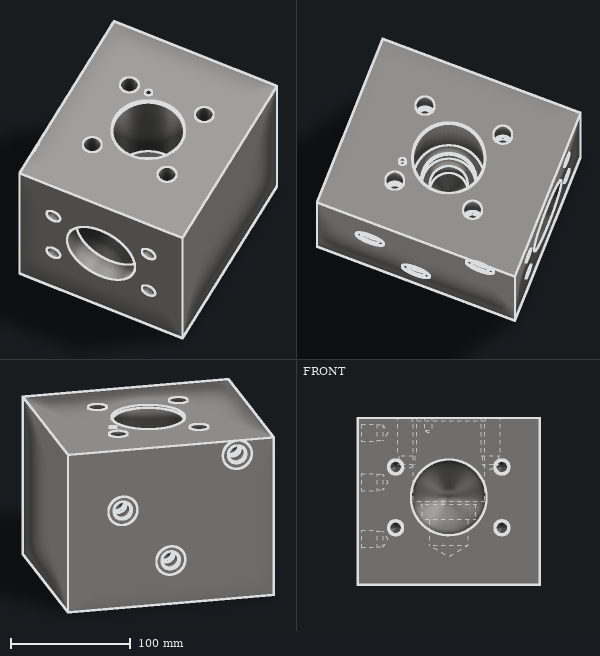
import cadquery as cq
import math

WIDTH = 152.4
LENGTH = 177.8
HEIGHT = 139.8

DRILL_POINT_ANGLE = 118.0

CAVITY_Y = LENGTH / 2
COUNTERBORE_DEPTH = 2.5
MAIN_COUNTERBORE_DIAMETER = 61.3
MAIN_BORE_DIAMETER = 60.1
MAIN_BORE_DEPTH = 70.0
LOWER_COUNTERBORE_DIAMETER = 46.4
LOWER_BORE_DIAMETER = 45.0
LOWER_BORE_DEPTH = 85.0
OUTLET_DIAMETER = 32.0
OUTLET_DEPTH = 106.7

COVER_BOLT_SPACING = 69.9
COVER_THREAD_DIAMETER = 15.8
COVER_THREAD_DEPTH = 32.0
COVER_DRILL_DIAMETER = 13.5
COVER_DRILL_DEPTH = 39.1
PIN_X = -17.0
PIN_DIAMETER = 6.0
PIN_DEPTH = 10.7

FLANGE_Z = 73.3
FLANGE_BORE_DIAMETER = 63.5
FLANGE_BORE_DEPTH = 17.8
FLANGE_BOLT_SPACING_X = 88.9
FLANGE_BOLT_SPACING_Z = 50.9
FLANGE_THREAD_DIAMETER = 12.6
FLANGE_THREAD_DEPTH = 26.7
FLANGE_DRILL_DIAMETER = 10.7
FLANGE_DRILL_DEPTH = 33.8

PILOT_PORTS = [(31.5, 127.1), (130.3, 85.9), (LENGTH / 2, 38.2)]
SPOTFACE_DIAMETER = 25.0
SPOTFACE_DEPTH = 0.7
SEAL_MOUTH_DIAMETER = 15.8
SEAL_SEAT_DIAMETER = 14.5
SEAL_DEPTH = 3.0
PILOT_THREAD_DIAMETER = 14.2
PILOT_THREAD_DEPTH = 16.0
PILOT_DRILL_DIAMETER = 13.0
PILOT_DRILL_DEPTH = 21.3


def hole_cutter(steps):
    """Revolved cutter about +Z, mouth at Z = 0, running down to a drill point.

    Each step is (diameter at its top, diameter at its bottom, depth of its bottom).
    """
    points = [(0, 0)]
    top_depth = 0
    for top_diameter, bottom_diameter, bottom_depth in steps:
        step_start = (top_diameter / 2, -top_depth)
        if step_start != points[-1]:
            points.append(step_start)
        points.append((bottom_diameter / 2, -bottom_depth))
        top_depth = bottom_depth
    tip_radius = steps[-1][1] / 2
    tip_length = tip_radius / math.tan(math.radians(DRILL_POINT_ANGLE / 2))
    points.append((0, -top_depth - tip_length))
    return cq.Workplane("XZ").polyline(points).close().revolve(360, (0, 0), (0, 1))


def tapped_cutter(thread_diameter, thread_depth, drill_diameter, drill_depth):
    return hole_cutter([
        (thread_diameter, thread_diameter, thread_depth),
        (drill_diameter, drill_diameter, drill_depth),
    ])


def sink_from_top(body, cutter, x, y):
    return body.cut(cutter.translate((x, y, HEIGHT)))


def sink_from_front(body, cutter, x, z):
    turned = cutter.rotate((0, 0, 0), (1, 0, 0), 90)
    return body.cut(turned.translate((x, 0, z)))


def sink_from_left(body, cutter, y, z):
    turned = cutter.rotate((0, 0, 0), (0, 1, 0), -90)
    return body.cut(turned.translate((-WIDTH / 2, y, z)))


def add_cavity(body):
    lower_counterbore_bottom = MAIN_BORE_DEPTH + COUNTERBORE_DEPTH
    cutter = hole_cutter([
        (MAIN_COUNTERBORE_DIAMETER, MAIN_COUNTERBORE_DIAMETER, COUNTERBORE_DEPTH),
        (MAIN_BORE_DIAMETER, MAIN_BORE_DIAMETER, MAIN_BORE_DEPTH),
        (LOWER_COUNTERBORE_DIAMETER, LOWER_COUNTERBORE_DIAMETER, lower_counterbore_bottom),
        (LOWER_BORE_DIAMETER, LOWER_BORE_DIAMETER, LOWER_BORE_DEPTH),
        (OUTLET_DIAMETER, OUTLET_DIAMETER, OUTLET_DEPTH),
    ])
    return sink_from_top(body, cutter, 0, CAVITY_Y)


def add_cover_holes(body):
    offset = COVER_BOLT_SPACING / 2
    bolt = tapped_cutter(
        COVER_THREAD_DIAMETER, COVER_THREAD_DEPTH, COVER_DRILL_DIAMETER, COVER_DRILL_DEPTH
    )
    for x in (-offset, offset):
        for y in (CAVITY_Y - offset, CAVITY_Y + offset):
            body = sink_from_top(body, bolt, x, y)
    pin = hole_cutter([(PIN_DIAMETER, PIN_DIAMETER, PIN_DEPTH)])
    return sink_from_top(body, pin, PIN_X, CAVITY_Y + offset)


def add_flange_port(body):
    bore = hole_cutter([(FLANGE_BORE_DIAMETER, FLANGE_BORE_DIAMETER, FLANGE_BORE_DEPTH)])
    body = sink_from_front(body, bore, 0, FLANGE_Z)
    bolt = tapped_cutter(
        FLANGE_THREAD_DIAMETER, FLANGE_THREAD_DEPTH, FLANGE_DRILL_DIAMETER, FLANGE_DRILL_DEPTH
    )
    for x in (-FLANGE_BOLT_SPACING_X / 2, FLANGE_BOLT_SPACING_X / 2):
        for z in (FLANGE_Z - FLANGE_BOLT_SPACING_Z / 2, FLANGE_Z + FLANGE_BOLT_SPACING_Z / 2):
            body = sink_from_front(body, bolt, x, z)
    return body


def add_pilot_ports(body):
    cutter = hole_cutter([
        (SPOTFACE_DIAMETER, SPOTFACE_DIAMETER, SPOTFACE_DEPTH),
        (SEAL_MOUTH_DIAMETER, SEAL_SEAT_DIAMETER, SEAL_DEPTH),
        (PILOT_THREAD_DIAMETER, PILOT_THREAD_DIAMETER, PILOT_THREAD_DEPTH),
        (PILOT_DRILL_DIAMETER, PILOT_DRILL_DIAMETER, PILOT_DRILL_DEPTH),
    ])
    for y, z in PILOT_PORTS:
        body = sink_from_left(body, cutter, y, z)
    return body


block = cq.Workplane("XY").box(WIDTH, LENGTH, HEIGHT, centered=(True, False, False))
result = add_pilot_ports(add_flange_port(add_cover_holes(add_cavity(block))))